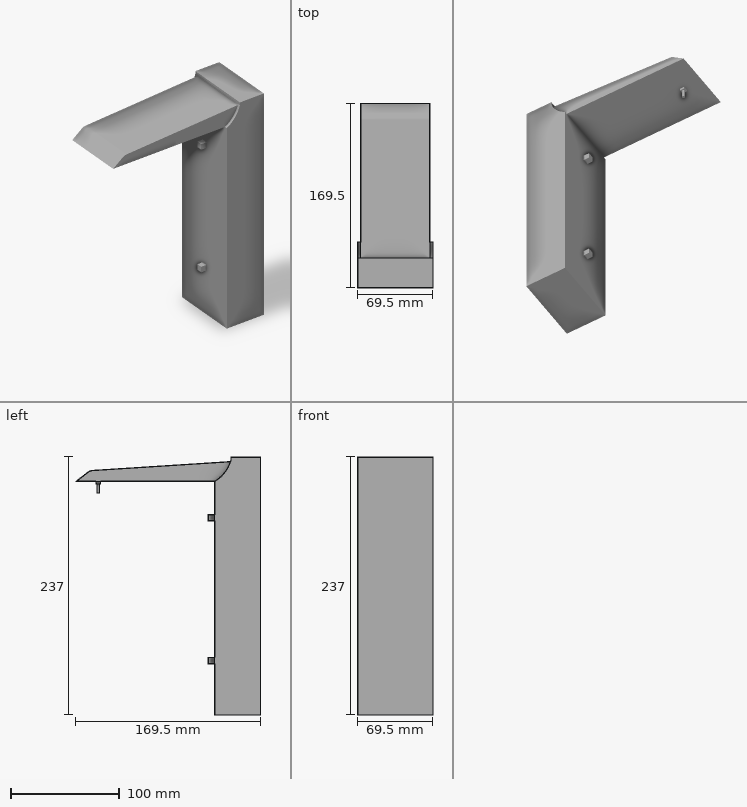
import cadquery as cq

column_width = 69.5
column_depth = 42.2
column_height = 237.0
column_top_depth = 27.3

seat_top = 234.0
seat_radius = 33.2

arm_width = 63.8
arm_tip_y = 169.5
arm_bottom = 214.7
arm_root_top = 233.0
arm_bevel_y = 156.7
arm_bevel_top = 224.7
arm_bevel_fillet = 7.8

pin_y = 149.0
pin_collar_side = 4.5
pin_collar_length = 2.4
pin_diameter = 2.5
pin_length = 10.7

peg_side = 6.0
peg_length = 6.0
peg_heights = (50.0, 181.3)


def make_column():
    """Extrude the column side profile, with the arc of the seat at the top."""
    return (
        cq.Workplane("YZ")
        .lineTo(column_depth, 0)
        .lineTo(column_depth, arm_bottom)
        .radiusArc((column_top_depth, seat_top), seat_radius)
        .lineTo(column_top_depth, column_height)
        .lineTo(0, column_height)
        .close()
        .extrude(column_width / 2, both=True)
    )


def make_arm(column):
    """Extrude the wedge into the column, then trim it to end on the seat."""
    wedge = (
        cq.Workplane("YZ")
        .moveTo(column_top_depth, arm_bottom)
        .lineTo(arm_tip_y, arm_bottom)
        .lineTo(arm_bevel_y, arm_bevel_top)
        .lineTo(column_top_depth, arm_root_top)
        .close()
        .extrude(arm_width / 2, both=True)
    )
    bevel_edge = cq.selectors.NearestToPointSelector((0, arm_bevel_y, arm_bevel_top))
    return wedge.edges("|X").edges(bevel_edge).fillet(arm_bevel_fillet).cut(column)


def make_pin():
    """Hang a thin round pin with a wider square collar from the underside of the arm."""
    base = cq.Workplane("XY", origin=(0, pin_y, arm_bottom))
    collar = base.rect(pin_collar_side, pin_collar_side).extrude(-pin_collar_length)
    shank = base.circle(pin_diameter / 2).extrude(-pin_length)
    return collar.union(shank)


def make_peg(height):
    """Stand a square peg on the back face of the column."""
    base = cq.Workplane("XZ", origin=(0, column_depth, height))
    return base.rect(peg_side, peg_side).extrude(-peg_length)


column = make_column()
result = column.union(make_arm(column)).union(make_pin())
for peg_height in peg_heights:
    result = result.union(make_peg(peg_height))